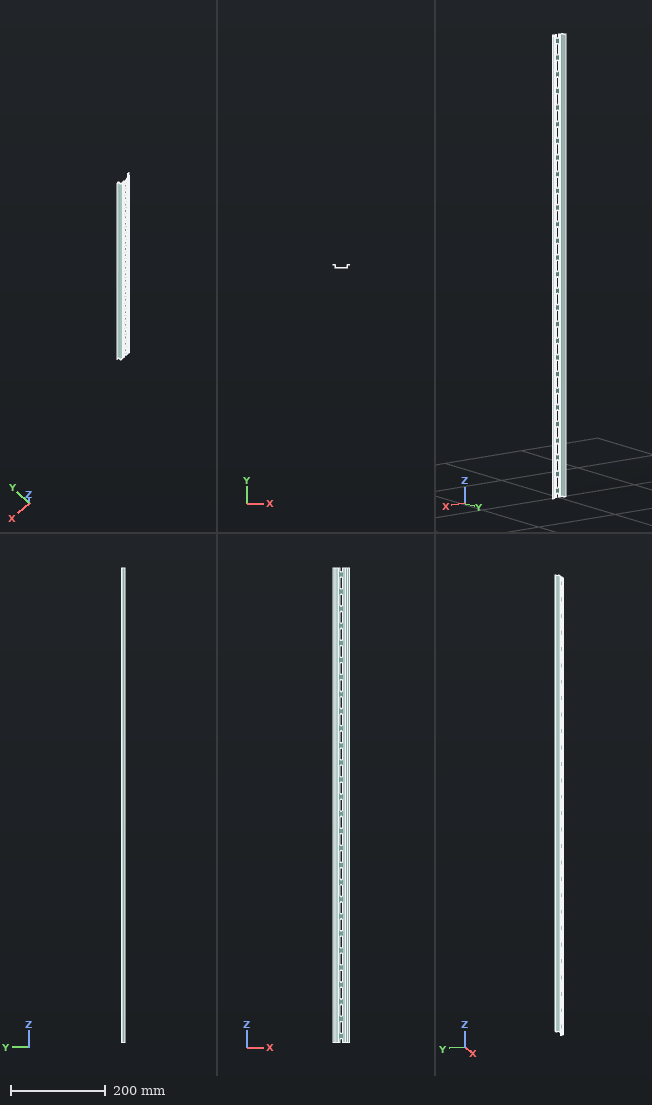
import cadquery as cq

RAIL_WIDTH = 35.0
RAIL_DEPTH = 7.5
RAIL_LENGTH = 1000.0
HAT_WIDTH = 27.0
SHEET = 1.0
INNER_BEND_RADIUS = 0.8
OUTER_BEND_RADIUS = INNER_BEND_RADIUS + SHEET

GROOVE_OFFSET = 7.0
GROOVE_WIDTH = 3.0
GROOVE_DEPTH = 0.3

SLOT_LENGTH = 25.0
SLOT_WIDTH = 5.2
SLOT_PITCH = 36.0
SLOT_COUNT = 29

HALF_WIDTH = RAIL_WIDTH / 2
WALL_OUTSIDE = HAT_WIDTH / 2
WALL_INSIDE = WALL_OUTSIDE - SHEET
FLANGE_UNDERSIDE = RAIL_DEPTH - SHEET

PICK_REACH = 0.1


def sharp_rail():
    """Extruded hat section: base on Y = 0, flanges turned outwards at the full depth."""
    return (
        cq.Workplane("XY")
        .moveTo(-WALL_OUTSIDE, 0)
        .lineTo(WALL_OUTSIDE, 0)
        .lineTo(WALL_OUTSIDE, FLANGE_UNDERSIDE)
        .lineTo(HALF_WIDTH, FLANGE_UNDERSIDE)
        .lineTo(HALF_WIDTH, RAIL_DEPTH)
        .lineTo(WALL_INSIDE, RAIL_DEPTH)
        .lineTo(WALL_INSIDE, SHEET)
        .lineTo(-WALL_INSIDE, SHEET)
        .lineTo(-WALL_INSIDE, RAIL_DEPTH)
        .lineTo(-HALF_WIDTH, RAIL_DEPTH)
        .lineTo(-HALF_WIDTH, FLANGE_UNDERSIDE)
        .lineTo(-WALL_OUTSIDE, FLANGE_UNDERSIDE)
        .close()
        .extrude(RAIL_LENGTH)
    )


def corner_edges(x, y):
    """Selector for the two mirrored edges that run along the rail at (-x, y) and (+x, y)."""
    left, right = [
        cq.selectors.BoxSelector(
            (corner_x - PICK_REACH, y - PICK_REACH, 0),
            (corner_x + PICK_REACH, y + PICK_REACH, RAIL_LENGTH),
        )
        for corner_x in (-x, x)
    ]
    return left + right


def bent_rail():
    """Hat section with its four bends rounded on both sides of the sheet."""
    bends = (
        (WALL_INSIDE, SHEET, INNER_BEND_RADIUS),
        (WALL_OUTSIDE, 0, OUTER_BEND_RADIUS),
        (WALL_OUTSIDE, FLANGE_UNDERSIDE, INNER_BEND_RADIUS),
        (WALL_INSIDE, RAIL_DEPTH, OUTER_BEND_RADIUS),
    )
    rail = sharp_rail()
    for x, y, radius in bends:
        rail = rail.edges("|Z").edges(corner_edges(x, y)).fillet(radius)
    return rail


def base_grooves():
    """Flat-bottomed grooves that run the whole length of the rail."""
    centre_y = GROOVE_DEPTH / 2
    return (
        cq.Workplane("XY")
        .pushPoints([(-GROOVE_OFFSET, centre_y), (GROOVE_OFFSET, centre_y)])
        .rect(GROOVE_WIDTH, GROOVE_DEPTH)
        .extrude(RAIL_LENGTH)
    )


def base_slots():
    """Round-ended slots through the base at an even pitch, centred on the rail's length."""
    first_z = RAIL_LENGTH / 2 - SLOT_PITCH * (SLOT_COUNT - 1) / 2
    centres = [(0, first_z + index * SLOT_PITCH) for index in range(SLOT_COUNT)]
    return (
        cq.Workplane("XZ")
        .pushPoints(centres)
        .slot2D(SLOT_LENGTH, SLOT_WIDTH, 90)
        .extrude(-SHEET)
    )


result = bent_rail().cut(base_grooves()).cut(base_slots())